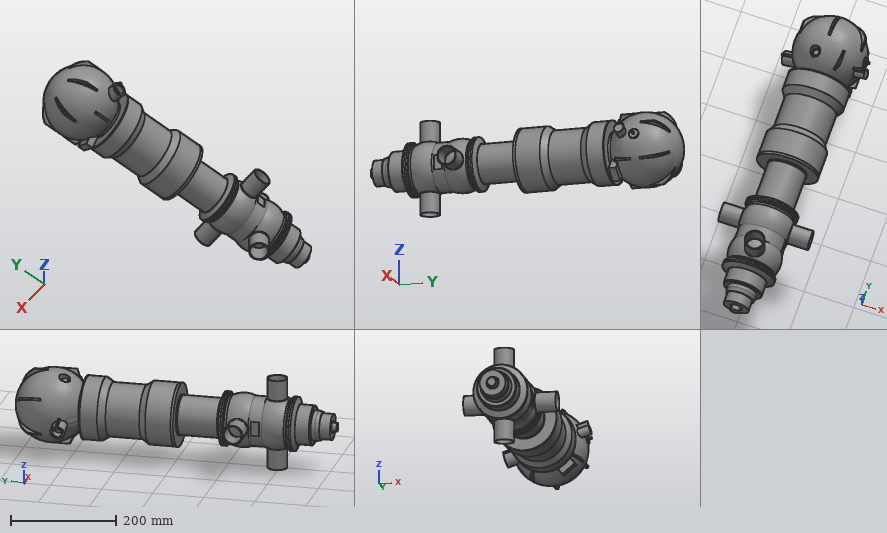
import cadquery as cq
import math

TOTAL_LENGTH = 628.0

CHAMBER_DIA = 105.0
LOWER_CHAMBER_Y = 117.5
CHAMBER_SPACING = 66.0
UPPER_CHAMBER_Y = LOWER_CHAMBER_Y + CHAMBER_SPACING
BARREL_DIA = 97.0
WIDTH_OVER_FLATS = 92.5
FLAT_LENGTH = 16.5
FLAT_HEIGHT = 28.0

PIPE_DIA = 38.5
PIPE_BORE = 34.5
PIPE_SPAN = 180.0
PIPE_ROOT_RADIUS = 44.0

CLAMP_OFFSET = 34.0
CLAMP_DIA = 105.0
CLAMP_HALF_WIDTH = 4.0
CLAMP_BEVEL = 2.5
CLAMP_NECK_DIA = 94.0
FLANGE_CONE_HEIGHT = 5.5
LOWER_JOINT_Y = LOWER_CHAMBER_Y - CLAMP_OFFSET
UPPER_JOINT_Y = UPPER_CHAMBER_Y + CLAMP_OFFSET

TUBE_DIA = 77.0
COLLAR_DIA = 79.0
TAIL_END_Y = 9.0
TAIL_NOSE_DIA = 50.0
TAIL_NOSE_TOP_Y = 29.5
TAIL_TAPER_SMALL_DIA = 54.5
TAIL_TAPER_DIA = 59.0
TAIL_TAPER_TOP_Y = 38.0
TAIL_SHOULDER_Y = 45.0
TAIL_CHAMFER = 2.0
ROD_DIA = 17.0
ROD_RECESS_DIA = 24.0
ROD_RECESS_DEPTH = 9.5

ACTUATOR_BOTTOM_Y = 307.0
ACTUATOR_TOP_Y = 492.0
ACTUATOR_DIA = 123.0
RIM_DIA = 124.0
LOWER_RIM_HEIGHT = 5.0
UPPER_RIM_HEIGHT = 2.0
WAIST_DIA = 105.0
LOWER_CONE_Y = 362.0
WAIST_BOTTOM_Y = 376.0
WAIST_TOP_Y = 442.0
UPPER_CONE_Y = 456.0
YOKE_COLLAR_HEIGHT = 3.0

HEAD_RADIUS = 72.0
HEAD_CENTRE_Y = TOTAL_LENGTH - HEAD_RADIUS
HEAD_BOTTOM_Y = 497.5
HEAD_NECK_DIA = 73.0

RIB_COUNT = 6
RIB_FIRST_ANGLE = 94.0
RIB_THICKNESS = 4.0
RIB_BOTTOM_Y = 565.5
RIB_RADIUS = 72.0
RIB_CORNER_Y = 591.0
RIB_MID_Y = 605.0
RIB_MID_RADIUS = 61.0
RIB_TIP_Y = 616.0
RIB_TIP_RADIUS = 41.0
RIB_ROOT_RADIUS = 31.5

PORT_Y = 529.0
PORT_ANGLE = 18.0
PORT_END_RADIUS = 86.0
SMALL_PORT_DIA = 19.0
LARGE_PORT_DIA = 27.5
LARGE_PORT_BORE = 19.0
PORT_BORE_DEPTH = 12.5
PORT_KEY_WIDTH = 4.0
PORT_KEY_HEIGHT = 17.5
PORT_ROOT_RADIUS = 50.0
SOCKET_ANGLE = PORT_ANGLE + 90
SOCKET_DIA = 21.0
SOCKET_DEPTH = 9.5
SOCKET_PIN_DIA = 12.5
SOCKET_PIN_HEIGHT = 3.0

SHORT_RIB_ANGLES = (64.0, 244.0, 334.0)
SHORT_RIB_TOP_Y = 546.5
SHORT_RIB_BOTTOM_Y = 516.5
SHORT_RIB_ROOT_Y = 500.0

FOOT_ANGLE = -50.0
FOOT_WIDTH = 32.0
FOOT_RADIUS = 71.5
FOOT_TOP_Y = 515.0
FOOT_BOTTOM_Y = 500.0

BUTTON_ANGLE = 12.0
BUTTON_BASE_DIA = 19.0
BUTTON_BASE_RADIUS = 75.0
BUTTON_PIN_DIA = 4.0
BUTTON_END_RADIUS = 81.0
BUTTON_ROOT_RADIUS = 56.5


def turned(points):
    """Solid of revolution about the Y axis from (radius, y) points."""
    return cq.Workplane("XY").polyline(points).close().revolve(360, (0, 0, 0), (0, 1, 0))


def ball(radius, y):
    return cq.Workplane("XY").sphere(radius).translate((0, y, 0))


def radial_frame(angle, y):
    """Workplane on the axis at height y whose normal points outward at the angle."""
    a = math.radians(angle)
    plane = cq.Plane(origin=(0, y, 0), xDir=(0, 1, 0), normal=(math.cos(a), 0, math.sin(a)))
    return cq.Workplane(plane)


def radial_rod(angle, y, diameter, start, end):
    """Cylinder pointing outward between two distances from the axis."""
    return radial_frame(angle, y).workplane(offset=start).circle(diameter / 2).extrude(end - start)


def radial_plate(angle, thickness, outline):
    """Plate in the half-plane at the angle; outline is drawn in (radius, y) coordinates."""
    plate = outline.extrude(thickness / 2, both=True)
    return plate.rotate((0, 0, 0), (0, 1, 0), -angle)


def valve_core():
    """Turned core: lower clamp, two spherical chambers with a barrel between, upper clamp."""
    ball_radius = CHAMBER_DIA / 2
    barrel = BARREL_DIA / 2
    neck = CLAMP_NECK_DIA / 2
    rim = CLAMP_DIA / 2
    bevel_radius = rim - CLAMP_BEVEL
    bevel_width = CLAMP_HALF_WIDTH + CLAMP_BEVEL
    barrel_offset = math.sqrt(ball_radius ** 2 - barrel ** 2)
    neck_offset = math.sqrt(ball_radius ** 2 - neck ** 2)
    return (
        cq.Workplane("XY")
        .moveTo(0, LOWER_JOINT_Y)
        .lineTo(rim, LOWER_JOINT_Y)
        .lineTo(rim, LOWER_JOINT_Y + CLAMP_HALF_WIDTH)
        .lineTo(bevel_radius, LOWER_JOINT_Y + bevel_width)
        .lineTo(neck, LOWER_JOINT_Y + bevel_width)
        .lineTo(neck, LOWER_CHAMBER_Y - neck_offset)
        .threePointArc((ball_radius, LOWER_CHAMBER_Y), (barrel, LOWER_CHAMBER_Y + barrel_offset))
        .lineTo(barrel, UPPER_CHAMBER_Y - barrel_offset)
        .threePointArc((ball_radius, UPPER_CHAMBER_Y), (neck, UPPER_CHAMBER_Y + neck_offset))
        .lineTo(neck, UPPER_JOINT_Y - bevel_width)
        .lineTo(bevel_radius, UPPER_JOINT_Y - bevel_width)
        .lineTo(rim, UPPER_JOINT_Y - CLAMP_HALF_WIDTH)
        .lineTo(rim, UPPER_JOINT_Y)
        .lineTo(0, UPPER_JOINT_Y)
        .close()
        .revolve(360, (0, 0, 0), (0, 1, 0))
    )


def make_valve_body():
    body = valve_core()

    flat_y = (LOWER_CHAMBER_Y + UPPER_CHAMBER_Y) / 2
    for side in (1, -1):
        cutter = cq.Workplane("XY").box(BARREL_DIA, FLAT_LENGTH, FLAT_HEIGHT)
        body = body.cut(cutter.translate((side * (WIDTH_OVER_FLATS + BARREL_DIA) / 2, flat_y, 0)))

    for centre, angles in ((LOWER_CHAMBER_Y, (90, 270)), (UPPER_CHAMBER_Y, (0, 180))):
        for angle in angles:
            pipe = (
                radial_frame(angle, centre)
                .workplane(offset=PIPE_ROOT_RADIUS)
                .circle(PIPE_DIA / 2)
                .circle(PIPE_BORE / 2)
                .extrude(PIPE_SPAN / 2 - PIPE_ROOT_RADIUS)
            )
            body = body.union(pipe)
    return body


def make_tail():
    tube = TUBE_DIA / 2
    cone_end_y = LOWER_JOINT_Y - CLAMP_HALF_WIDTH - FLANGE_CONE_HEIGHT
    tail = turned([
        (0, TAIL_END_Y),
        (TAIL_NOSE_DIA / 2, TAIL_END_Y),
        (TAIL_NOSE_DIA / 2, TAIL_NOSE_TOP_Y),
        (TAIL_TAPER_SMALL_DIA / 2, TAIL_NOSE_TOP_Y),
        (TAIL_TAPER_DIA / 2, TAIL_TAPER_TOP_Y),
        (TAIL_TAPER_DIA / 2, TAIL_SHOULDER_Y),
        (tube - TAIL_CHAMFER, TAIL_SHOULDER_Y),
        (tube, TAIL_SHOULDER_Y + TAIL_CHAMFER),
        (tube, cone_end_y),
        (COLLAR_DIA / 2, cone_end_y),
        (CLAMP_DIA / 2, LOWER_JOINT_Y - CLAMP_HALF_WIDTH),
        (CLAMP_DIA / 2, LOWER_JOINT_Y),
        (0, LOWER_JOINT_Y),
    ])
    recess = (
        cq.Workplane("XZ", origin=(0, TAIL_END_Y, 0))
        .circle(ROD_RECESS_DIA / 2)
        .extrude(-ROD_RECESS_DEPTH)
    )
    return tail.cut(recess)


def make_rod():
    return cq.Workplane("XZ").circle(ROD_DIA / 2).extrude(-(TAIL_END_Y + ROD_RECESS_DEPTH))


def make_actuator():
    tube = TUBE_DIA / 2
    barrel = ACTUATOR_DIA / 2
    rim = RIM_DIA / 2
    waist = WAIST_DIA / 2
    cone_end_y = UPPER_JOINT_Y + CLAMP_HALF_WIDTH + FLANGE_CONE_HEIGHT
    yoke_top_y = ACTUATOR_BOTTOM_Y - YOKE_COLLAR_HEIGHT
    return turned([
        (0, UPPER_JOINT_Y),
        (CLAMP_DIA / 2, UPPER_JOINT_Y),
        (CLAMP_DIA / 2, UPPER_JOINT_Y + CLAMP_HALF_WIDTH),
        (COLLAR_DIA / 2, cone_end_y),
        (tube, cone_end_y),
        (tube, yoke_top_y),
        (COLLAR_DIA / 2, yoke_top_y),
        (COLLAR_DIA / 2, ACTUATOR_BOTTOM_Y),
        (rim, ACTUATOR_BOTTOM_Y),
        (rim, ACTUATOR_BOTTOM_Y + LOWER_RIM_HEIGHT),
        (barrel, ACTUATOR_BOTTOM_Y + LOWER_RIM_HEIGHT),
        (barrel, LOWER_CONE_Y),
        (waist, WAIST_BOTTOM_Y),
        (waist, WAIST_TOP_Y),
        (barrel, UPPER_CONE_Y),
        (barrel, ACTUATOR_TOP_Y - UPPER_RIM_HEIGHT),
        (rim, ACTUATOR_TOP_Y - UPPER_RIM_HEIGHT),
        (rim, ACTUATOR_TOP_Y),
        (0, ACTUATOR_TOP_Y),
    ])


def head_shell():
    """Ball cut off flat above the actuator, standing on a short flared neck."""
    cut_off = turned([
        (0, HEAD_BOTTOM_Y), (HEAD_RADIUS, HEAD_BOTTOM_Y),
        (HEAD_RADIUS, 0), (0, 0),
    ])
    neck = turned([
        (0, ACTUATOR_TOP_Y), (COLLAR_DIA / 2, ACTUATOR_TOP_Y),
        (HEAD_NECK_DIA / 2, HEAD_BOTTOM_Y), (0, HEAD_BOTTOM_Y),
    ])
    return ball(HEAD_RADIUS, HEAD_CENTRE_Y).cut(cut_off).union(neck)


def head_rib(angle):
    outline = (
        cq.Workplane("XY")
        .moveTo(RIB_ROOT_RADIUS, RIB_BOTTOM_Y)
        .lineTo(RIB_RADIUS, RIB_BOTTOM_Y)
        .lineTo(RIB_RADIUS, RIB_CORNER_Y)
        .threePointArc((RIB_MID_RADIUS, RIB_MID_Y), (RIB_TIP_RADIUS, RIB_TIP_Y))
        .lineTo(RIB_ROOT_RADIUS, RIB_TIP_Y)
        .close()
    )
    return radial_plate(angle, RIB_THICKNESS, outline)


def short_rib(angle):
    """Thin rib whose lower end slopes back into the ball."""
    outline = cq.Workplane("XY").polyline([
        (RIB_ROOT_RADIUS, SHORT_RIB_TOP_Y),
        (RIB_RADIUS, SHORT_RIB_TOP_Y),
        (RIB_RADIUS, SHORT_RIB_BOTTOM_Y),
        (RIB_ROOT_RADIUS, SHORT_RIB_ROOT_Y),
    ]).close()
    return radial_plate(angle, RIB_THICKNESS, outline)


def head_foot():
    outline = cq.Workplane("XY").polyline([
        (RIB_ROOT_RADIUS, FOOT_TOP_Y),
        (FOOT_RADIUS, FOOT_TOP_Y),
        (FOOT_RADIUS, FOOT_BOTTOM_Y),
        (RIB_ROOT_RADIUS, FOOT_BOTTOM_Y),
    ]).close()
    return radial_plate(FOOT_ANGLE, FOOT_WIDTH, outline)


def head_port(angle, diameter):
    """Round port with a narrow key strip, from the port axis out past its +Z side."""
    port = radial_rod(angle, PORT_Y, diameter, PORT_ROOT_RADIUS, PORT_END_RADIUS)
    up = math.copysign(1, math.cos(math.radians(angle)))
    key = (
        radial_frame(angle, PORT_Y)
        .workplane(offset=PORT_ROOT_RADIUS)
        .center(0, up * PORT_KEY_HEIGHT / 2)
        .rect(PORT_KEY_WIDTH, PORT_KEY_HEIGHT)
        .extrude(PORT_END_RADIUS - PORT_ROOT_RADIUS)
    )
    return port.union(key)


def make_head():
    head = head_shell()
    for index in range(RIB_COUNT):
        head = head.union(head_rib(RIB_FIRST_ANGLE + index * 360 / RIB_COUNT))
    for angle in SHORT_RIB_ANGLES:
        head = head.union(short_rib(angle))
    head = head.union(head_foot())

    head = head.union(head_port(PORT_ANGLE, SMALL_PORT_DIA))
    head = head.union(head_port(PORT_ANGLE + 180, LARGE_PORT_DIA))
    head = head.cut(radial_rod(
        PORT_ANGLE + 180, PORT_Y, LARGE_PORT_BORE,
        PORT_END_RADIUS - PORT_BORE_DEPTH, PORT_END_RADIUS,
    ))

    surface = math.sqrt(HEAD_RADIUS ** 2 - (HEAD_CENTRE_Y - PORT_Y) ** 2)
    floor = surface - SOCKET_DEPTH
    head = head.cut(radial_rod(SOCKET_ANGLE, PORT_Y, SOCKET_DIA, floor, HEAD_RADIUS))
    head = head.union(radial_rod(
        SOCKET_ANGLE, PORT_Y, SOCKET_PIN_DIA, floor, floor + SOCKET_PIN_HEIGHT,
    ))

    head = head.union(radial_rod(
        BUTTON_ANGLE, HEAD_CENTRE_Y, BUTTON_BASE_DIA, BUTTON_ROOT_RADIUS, BUTTON_BASE_RADIUS,
    ))
    return head.union(radial_rod(
        BUTTON_ANGLE, HEAD_CENTRE_Y, BUTTON_PIN_DIA, BUTTON_ROOT_RADIUS, BUTTON_END_RADIUS,
    ))


rod = make_rod()
tail = make_tail()
valve_body = make_valve_body()
actuator = make_actuator()
head = make_head()

result = cq.Compound.makeCompound([
    rod.solids().val(),
    tail.solids().val(),
    valve_body.solids().val(),
    actuator.solids().val(),
    head.solids().val(),
])